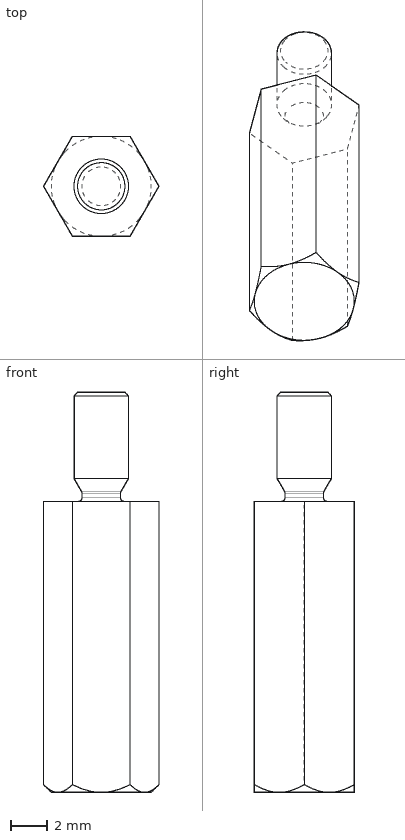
import cadquery as cq
import math

ACROSS_FLATS = 5.5
BODY_LENGTH = 16.0
BOTTOM_FACE_DIAMETER = ACROSS_FLATS
ACROSS_CORNERS = ACROSS_FLATS / math.cos(math.radians(30))

STUD_DIAMETER = 3.0
STUD_LENGTH = 6.0
STUD_TIP_CHAMFER = 0.2

NECK_DIAMETER = 2.13
NECK_ROOT_RADIUS = 0.2
UNDERCUT_HEIGHT = 1.25
RUNOUT_ANGLE = math.radians(30)
RUNOUT_BLEND_RADIUS = 0.2


def hex_body():
    """Hexagonal prism whose bottom corners are cut by a 45 degree cone."""
    prism = cq.Workplane("XY").polygon(6, ACROSS_CORNERS).extrude(BODY_LENGTH)
    bottom_radius = BOTTOM_FACE_DIAMETER / 2
    corner_radius = ACROSS_CORNERS / 2
    chamfer_height = corner_radius - bottom_radius
    envelope = (
        cq.Workplane("XZ")
        .lineTo(bottom_radius, 0)
        .lineTo(corner_radius, chamfer_height)
        .lineTo(corner_radius, BODY_LENGTH)
        .lineTo(0, BODY_LENGTH)
        .close()
        .revolve(360, (0, 0, 0), (0, 1, 0))
    )
    return prism.intersect(envelope)


def stud():
    """Turned stud: root fillet, neck, conical run-out, full diameter and tip chamfer."""
    base = BODY_LENGTH
    tip = base + STUD_LENGTH
    neck_radius = NECK_DIAMETER / 2
    stud_radius = STUD_DIAMETER / 2
    runout_height = (stud_radius - neck_radius) / math.tan(RUNOUT_ANGLE)
    cone_foot = base + UNDERCUT_HEIGHT - runout_height
    blend_reach = RUNOUT_BLEND_RADIUS * math.tan(RUNOUT_ANGLE / 2)
    blend_end = (
        neck_radius + blend_reach * math.sin(RUNOUT_ANGLE),
        cone_foot + blend_reach * math.cos(RUNOUT_ANGLE),
    )
    return (
        cq.Workplane("XZ")
        .moveTo(0, base)
        .lineTo(neck_radius + NECK_ROOT_RADIUS, base)
        .radiusArc((neck_radius, base + NECK_ROOT_RADIUS), NECK_ROOT_RADIUS)
        .lineTo(neck_radius, cone_foot - blend_reach)
        .radiusArc(blend_end, RUNOUT_BLEND_RADIUS)
        .lineTo(stud_radius, base + UNDERCUT_HEIGHT)
        .lineTo(stud_radius, tip - STUD_TIP_CHAMFER)
        .lineTo(stud_radius - STUD_TIP_CHAMFER, tip)
        .lineTo(0, tip)
        .close()
        .revolve(360, (0, 0, 0), (0, 1, 0))
    )


result = hex_body().union(stud())